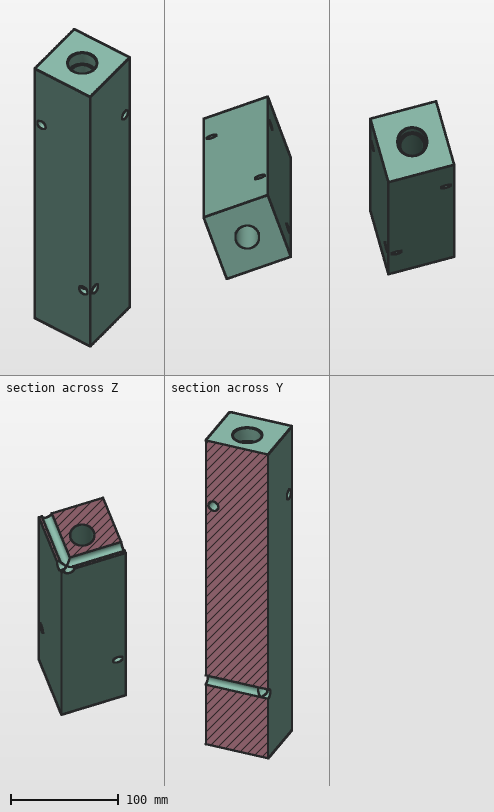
import cadquery as cq

bar_width = 63.5
bar_length = 330.2
edge_break = 0.254

bore_diameter = 22.225
socket_diameter = 26.67
socket_depth = 14.1
socket_taper = 1 / 16
socket_rim_chamfer = 0.635

cross_hole_diameter = 9.525
cross_hole_edge_distance = 7.9375
cross_hole_spacing = 190.5

top = bar_length / 2
socket_floor_diameter = socket_diameter - socket_taper * socket_depth
cross_hole_offset = bar_width / 2 - cross_hole_edge_distance
cross_hole_height = cross_hole_spacing / 2


def make_bar():
    """Square bar with all its outer edges broken by a small chamfer."""
    return cq.Workplane("XY").box(bar_width, bar_width, bar_length).edges().chamfer(edge_break)


def drill_bore(body):
    bore = cq.Workplane("XY").circle(bore_diameter / 2).extrude(bar_length / 2, both=True)
    return body.cut(bore)


def cut_socket(body):
    """Cut the tapered socket and its rim chamfer as one revolved profile."""
    socket = (
        cq.Workplane("XZ")
        .moveTo(0, top)
        .lineTo(socket_diameter / 2 + socket_rim_chamfer, top)
        .lineTo(socket_diameter / 2, top - socket_rim_chamfer)
        .lineTo(socket_floor_diameter / 2, top - socket_depth)
        .lineTo(0, top - socket_depth)
        .close()
        .revolve(360, (0, 0, 0), (0, 1, 0))
    )
    return body.cut(socket)


def drill_cross_holes(body, plane, upper_offset):
    """Drill an upper and a lower hole through the bar, diagonally opposite on its face."""
    centres = [(upper_offset, cross_hole_height), (-upper_offset, -cross_hole_height)]
    holes = (
        cq.Workplane(plane)
        .pushPoints(centres)
        .circle(cross_hole_diameter / 2)
        .extrude(bar_width / 2, both=True)
    )
    return body.cut(holes)


result = make_bar()
result = drill_bore(result)
result = cut_socket(result)
result = drill_cross_holes(result, "XZ", -cross_hole_offset)
result = drill_cross_holes(result, "YZ", cross_hole_offset)